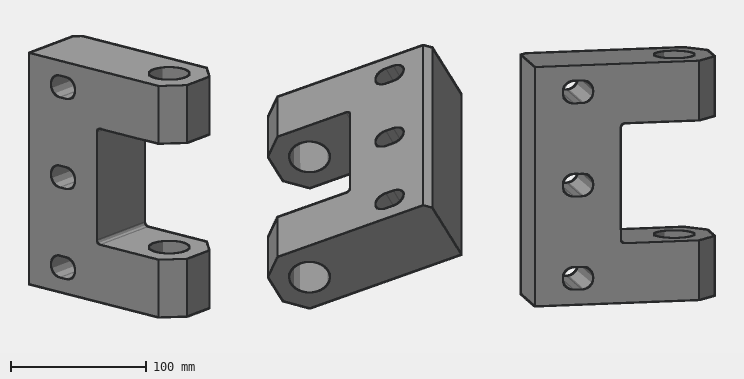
import cadquery as cq

width = 139.0
depth = 56.0
height = 180.0

nose_chamfer = 15.0
back_chamfer = 5.0

notch_start = 65.0
notch_height = height / 2
notch_radius = 3.0

bore_diameter = 30.0
bore_x = 111.0

slot_x = 32.5
slot_length = 23.0
slot_height = 17.0
slot_spacing = 70.0


def make_block():
    """Block with two nose chamfers and a smaller one at the back left edge."""
    block = cq.Workplane("XY").box(width, depth, height, centered=(False, True, True))
    block = block.edges("|Z and >X").chamfer(nose_chamfer)
    return block.edges("|Z and <X and >Y").chamfer(back_chamfer)


def make_notch():
    """Opening between the arms, with rounded inner corners."""
    notch_length = width - notch_start
    notch = cq.Workplane("XY").box(notch_length, depth, notch_height, centered=(False, True, True))
    return notch.edges("|Y and <X").fillet(notch_radius).translate((notch_start, 0, 0))


def make_bore():
    return cq.Workplane("XY").center(bore_x, 0).circle(bore_diameter / 2).extrude(height / 2, both=True)


def make_slots():
    """Three evenly spaced slots running through the depth."""
    centers = [(slot_x, row * slot_spacing) for row in (-1, 0, 1)]
    slots = cq.Workplane("XZ").pushPoints(centers).slot2D(slot_length, slot_height)
    return slots.extrude(depth / 2, both=True)


result = make_block().cut(make_notch()).cut(make_bore()).cut(make_slots())